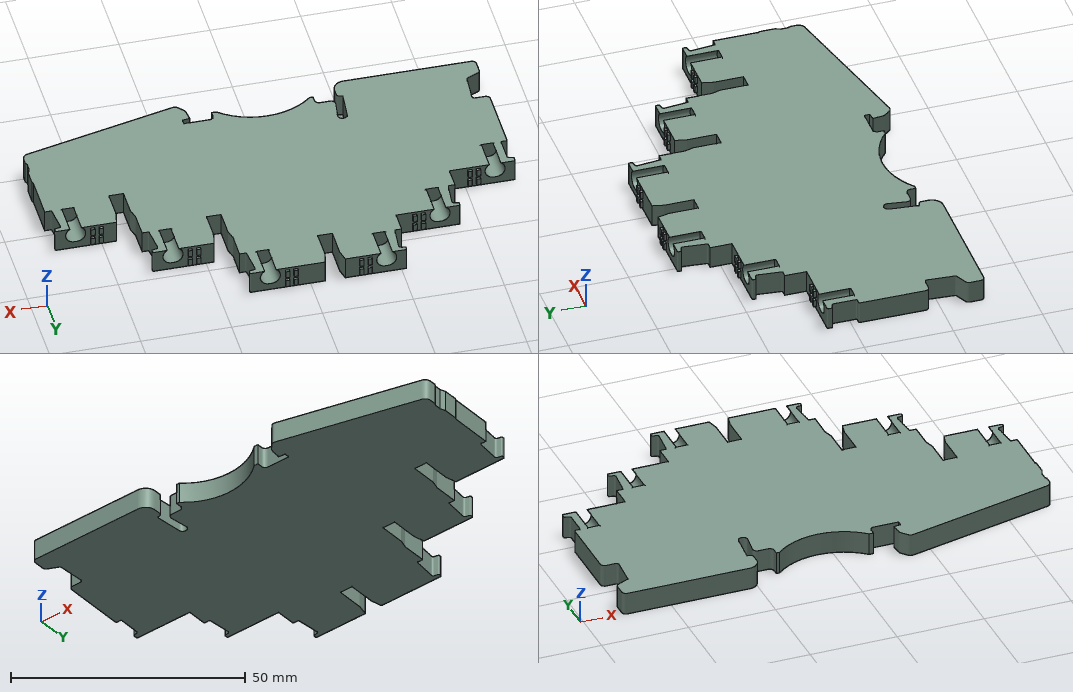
import cadquery as cq
import math

THICKNESS = 5.15
RIGHT_WALL_X = 101.8
BULGE_X = 102.0
WAVE_HOLLOW_X = 101.5

LEVEL_TOPS = [35.4, 47.4, 59.4]
LEFT_STEPS_X = [0.0, 14.5, 29.2]
RIGHT_STEPS_X = [RIGHT_WALL_X, 83.35, 64.9]

SHOULDER_DROP = 7.1
LIP_SETBACK = 0.6
LIP_OVERHANG = 1.5
LIP_HEIGHT = 0.9
LIP_SLOPE = 0.3
LIP_RADIUS = 0.3
LIP_UNDERSIDE_RADIUS = 0.2
NECK_FOOT_SETBACK = 1.5
NECK_RADIUS = 0.5
NECK_FOOT_RADIUS = 0.25
END_NECK_X = 1.4
END_LIP_HEIGHT = 1.2

SLOT_DROP = 9.2
SLOT_WIDTH = 3.2
SLOT_TAPER = 0.6
SLOT_MOUTH_DROP = 2.6
SLOT_SIDE_DROPS = [0.9, 3.0]
SLOTS_LEFT_X = [83.95, 65.45]
MIDDLE_SLOT_LEFT_X = 43.95

GROOVE_WIDTH = 2.55
GROOVE_FLAT = 0.6
GROOVE_RADIUS = 1.9
GROOVE_SETBACK = 4.45
END_GROOVE_SHIFT = 0.6

PAD_SETBACK = 4.65
PAD_PITCH_X = 1.85
PAD_WIDTH = 0.9
PAD_HEIGHT = 0.58
PAD_LENGTH_Z = 1.6
PAD_PITCH_Z = 2.4

ARCH_CENTER_X = 47.7
ARCH_TOP_Y = 7.7
ARCH_RADIUS = 15.4

FOOT_TOP_Y = 6.0
LEFT_FOOT_END_X = 31.65
HEEL_NOTCH_X = 65.65
LEFT_TOOTH_X = 36.65
RIGHT_TOOTH_X = 59.0
TOOTH_Y = 3.75
TOOTH_FILLET = 1.0
SPRING_SLOT_WIDTH = 2.1
SPRING_SLOT_END_RADIUS = 1.0
NOTCH_TOP_Y = 12.4
SPRING_SLOT_TOP_Y = NOTCH_TOP_Y
SPRING_SLOT_TOP_X = 31.15


def left_terminal(step_x, top_y):
    """Outline corners of a left terminal, from the top of its hook down to the shoulder."""
    lip_x = step_x + LIP_SETBACK
    lip_y = top_y - LIP_HEIGHT
    shoulder_y = top_y - SHOULDER_DROP
    return [
        (lip_x, top_y, LIP_RADIUS),
        (lip_x, lip_y, LIP_UNDERSIDE_RADIUS),
        (lip_x + LIP_OVERHANG, lip_y - LIP_SLOPE, NECK_RADIUS),
        (step_x + NECK_FOOT_SETBACK, shoulder_y, NECK_FOOT_RADIUS),
        (step_x, shoulder_y, 0),
    ]


def end_terminal(top_y):
    """Outline corners of the lowest left terminal, whose neck is straight."""
    lip_y = top_y - END_LIP_HEIGHT
    shoulder_y = top_y - SHOULDER_DROP
    return [
        (0, top_y, LIP_RADIUS),
        (0, lip_y, LIP_UNDERSIDE_RADIUS),
        (END_NECK_X, lip_y - LIP_SLOPE, NECK_RADIUS),
        (END_NECK_X, shoulder_y, NECK_FOOT_RADIUS),
        (0, shoulder_y, LIP_RADIUS),
    ]


def right_terminal(step_x, top_y):
    """Outline corners of a right terminal, a mirrored left one, from the shoulder up."""
    mirrored = [(step_x - x, y, r) for x, y, r in left_terminal(0, top_y)]
    return mirrored[::-1]


def slot(left_x, top_y, left_taper_drops):
    """Outline corners of a slot, from its right mouth round to its left mouth."""
    right_x = left_x + SLOT_WIDTH
    floor_y = top_y - SLOT_DROP
    taper_start, taper_end = left_taper_drops
    return [
        (right_x + SLOT_TAPER, top_y, 0),
        (right_x, top_y - SLOT_MOUTH_DROP, 0),
        (right_x, floor_y, 0),
        (left_x, floor_y, 0),
        (left_x, top_y - taper_end, 0),
        (left_x - SLOT_TAPER, top_y - taper_start, 0),
    ]


def foot_corners():
    """Outline corners of the underside, from the left notch round to the right wall."""
    slot_right_x = SPRING_SLOT_TOP_X + SPRING_SLOT_WIDTH
    return [
        (0, NOTCH_TOP_Y, 1.0),
        (3.75, NOTCH_TOP_Y, 0.6),
        (3.25, 5.5, 0.3),
        (0, 4.0, 1.0),
        (0, 0, 1.0),
        (LEFT_FOOT_END_X, 0, 2.6),
        (LEFT_FOOT_END_X, 4.6, 0.6),
        (30.4, 5.05, 0),
        (SPRING_SLOT_TOP_X, SPRING_SLOT_TOP_Y, SPRING_SLOT_END_RADIUS),
        (slot_right_x, SPRING_SLOT_TOP_Y, SPRING_SLOT_END_RADIUS),
        (32.35, FOOT_TOP_Y, 1.0),
        (LEFT_TOOTH_X, FOOT_TOP_Y, TOOTH_FILLET),
        (LEFT_TOOTH_X, TOOTH_Y, 0),
        (RIGHT_TOOTH_X, TOOTH_Y, 0),
        (RIGHT_TOOTH_X, FOOT_TOP_Y, TOOTH_FILLET),
        (HEEL_NOTCH_X, FOOT_TOP_Y, 0),
        (HEEL_NOTCH_X, 4.8, 0),
        (64.0, 4.6, 0),
        (64.3, 1.9, 1.5),
        (66.0, -0.12, 1.2),
        (RIGHT_WALL_X, 8.4, 1.6),
        (RIGHT_WALL_X, 11.0, 0),
        (WAVE_HOLLOW_X, 11.6, 0),
        (WAVE_HOLLOW_X, 13.2, 0),
        (BULGE_X, 14.4, 0),
        (BULGE_X, 17.8, 0),
        (RIGHT_WALL_X, 18.2, 0),
    ]


def plate_corners():
    """All outline corners as (x, y, radius), counter-clockwise."""
    corners = foot_corners()
    for index, top_y in enumerate(LEVEL_TOPS):
        corners += right_terminal(RIGHT_STEPS_X[index], top_y)
        if index < len(SLOTS_LEFT_X):
            corners += slot(SLOTS_LEFT_X[index], top_y, SLOT_SIDE_DROPS)
    corners += slot(MIDDLE_SLOT_LEFT_X, LEVEL_TOPS[-1], [0, SLOT_MOUTH_DROP])
    corners += left_terminal(LEFT_STEPS_X[2], LEVEL_TOPS[2])
    corners.append((LEFT_STEPS_X[2], LEVEL_TOPS[1], 0))
    corners += left_terminal(LEFT_STEPS_X[1], LEVEL_TOPS[1])
    corners.append((LEFT_STEPS_X[1], LEVEL_TOPS[0], 0))
    corners += end_terminal(LEVEL_TOPS[0])
    return corners


def rounded_outline(corners):
    """Closed wire through the corners; each corner with a radius becomes a tangent arc."""
    path = None
    for index, (x, y, radius) in enumerate(corners):
        here = cq.Vector(x, y)
        before = cq.Vector(*corners[index - 1][:2])
        after = cq.Vector(*corners[(index + 1) % len(corners)][:2])
        back = (before - here).normalized()
        ahead = (after - here).normalized()
        half_angle = back.getAngle(ahead) / 2
        reach = radius / math.tan(half_angle)
        start = here + back * reach
        if path is None:
            path = cq.Workplane("XY").moveTo(start.x, start.y)
        else:
            path = path.lineTo(start.x, start.y)
        if radius > 0:
            bisector = (back + ahead).normalized()
            middle = here + bisector * (radius / math.sin(half_angle) - radius)
            end = here + ahead * reach
            path = path.threePointArc((middle.x, middle.y), (end.x, end.y))
    return path.close()


def rail_arch():
    """Cylinder whose top cuts the rail arch between the teeth."""
    center_y = ARCH_TOP_Y - ARCH_RADIUS
    return cq.Workplane("XY").center(ARCH_CENTER_X, center_y).circle(ARCH_RADIUS).extrude(THICKNESS)


def marker_groove(center_x, top_y):
    """Rounded channel along Y that breaks through the top face, with a flat, blind inner end."""
    half_flat = GROOVE_FLAT / 2
    half_mouth = GROOVE_WIDTH / 2
    center_depth = math.sqrt(GROOVE_RADIUS**2 - (half_mouth - half_flat) ** 2)
    channel = (
        cq.Workplane("XZ")
        .slot2D(GROOVE_FLAT + 2 * GROOVE_RADIUS, 2 * GROOVE_RADIUS)
        .extrude(SHOULDER_DROP)
    )
    return channel.translate((center_x, top_y, THICKNESS - center_depth))


def marker_pads(center_x, top_y):
    """Two by two low pads on the top of a terminal."""
    return (
        cq.Workplane("XZ", origin=(center_x, top_y, THICKNESS / 2))
        .rarray(PAD_PITCH_X, PAD_PITCH_Z, 2, 2)
        .rect(PAD_WIDTH, PAD_LENGTH_Z)
        .extrude(-PAD_HEIGHT)
    )


plate = rounded_outline(plate_corners()).extrude(THICKNESS).cut(rail_arch())

left_groove_centers = [x + LIP_SETBACK + GROOVE_SETBACK for x in LEFT_STEPS_X]
left_groove_centers[0] -= END_GROOVE_SHIFT
right_groove_centers = [x - LIP_SETBACK - GROOVE_SETBACK for x in RIGHT_STEPS_X]

for inward, groove_centers in ((1, left_groove_centers), (-1, right_groove_centers)):
    for groove_x, level_top in zip(groove_centers, LEVEL_TOPS):
        plate = plate.cut(marker_groove(groove_x, level_top))
        plate = plate.union(marker_pads(groove_x + inward * PAD_SETBACK, level_top))

result = plate